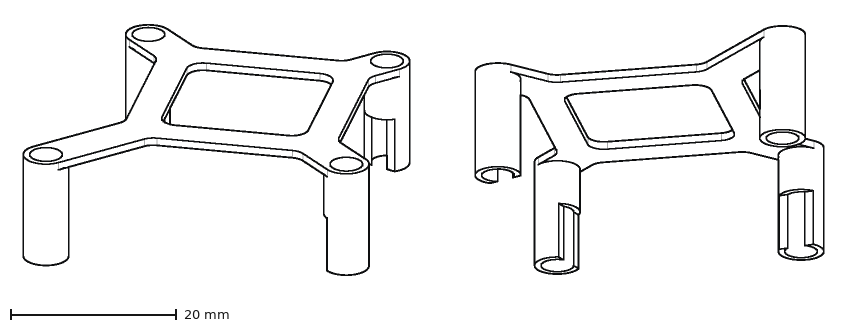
import cadquery as cq
import math

WIDTH = 49.5
LENGTH = 54.5
HEIGHT = 13.5

POST_DIAMETER = 5.5
BORE_DIAMETER = 3.9
NORTH_REACH = 20.05
SIDE_REACH = (WIDTH - POST_DIAMETER) / 2
SOUTH_REACH = LENGTH - POST_DIAMETER - NORTH_REACH

PLATE_THICKNESS = 1.0
FRAME_CORNER = 18.55
WINDOW_CORNER = 12.75
CORNER_RADIUS = 2.0

FLAT_HEIGHT = 7.0
FLAT_OFFSET = 1.65

EAST_POST = (SIDE_REACH, 0)
NORTH_POST = (0, NORTH_REACH)
WEST_POST = (-SIDE_REACH, 0)
SOUTH_POST = (0, -SOUTH_REACH)
POSTS = [EAST_POST, NORTH_POST, WEST_POST, SOUTH_POST]

FLATS = [(EAST_POST, 215), (NORTH_POST, 293), (WEST_POST, 23)]

PLATE_BOTTOM = HEIGHT - PLATE_THICKNESS


def diamond(corner):
    """Square prism with its corners on the X and Y axes."""
    side = corner * math.sqrt(2)
    return (
        cq.Workplane("XY")
        .workplane(offset=PLATE_BOTTOM)
        .transformed(rotate=(0, 0, 45))
        .rect(side, side)
        .extrude(PLATE_THICKNESS)
    )


def arm(post):
    """Straight bar from the frame centre to a post axis."""
    x, y = post
    reach = math.hypot(x, y)
    angle = math.degrees(math.atan2(y, x))
    return (
        cq.Workplane("XY")
        .workplane(offset=PLATE_BOTTOM)
        .transformed(rotate=(0, 0, angle))
        .center(reach / 2, 0)
        .rect(reach, POST_DIAMETER)
        .extrude(PLATE_THICKNESS)
    )


def flat_cutter(post, facing):
    """Block that removes the post material beyond its flat."""
    return (
        cq.Workplane("XY")
        .box(POST_DIAMETER, 2 * POST_DIAMETER, FLAT_HEIGHT, centered=(False, True, False))
        .translate((FLAT_OFFSET, 0, 0))
        .rotate((0, 0, 0), (0, 0, 1), facing)
        .translate((*post, 0))
    )


plate = diamond(FRAME_CORNER)
for post in POSTS:
    plate = plate.union(arm(post))

inner_joints = cq.selectors.BoxSelector(
    (-FRAME_CORNER, -FRAME_CORNER, 0), (FRAME_CORNER, FRAME_CORNER, HEIGHT)
)
plate = plate.edges("|Z").edges(inner_joints).fillet(CORNER_RADIUS)
window = diamond(WINDOW_CORNER).edges("|Z").fillet(CORNER_RADIUS)
plate = plate.cut(window)

columns = cq.Workplane("XY").pushPoints(POSTS).circle(POST_DIAMETER / 2).extrude(HEIGHT)
bores = cq.Workplane("XY").pushPoints(POSTS).circle(BORE_DIAMETER / 2).extrude(HEIGHT)
for post, facing in FLATS:
    columns = columns.cut(flat_cutter(post, facing))

result = plate.union(columns).cut(bores)